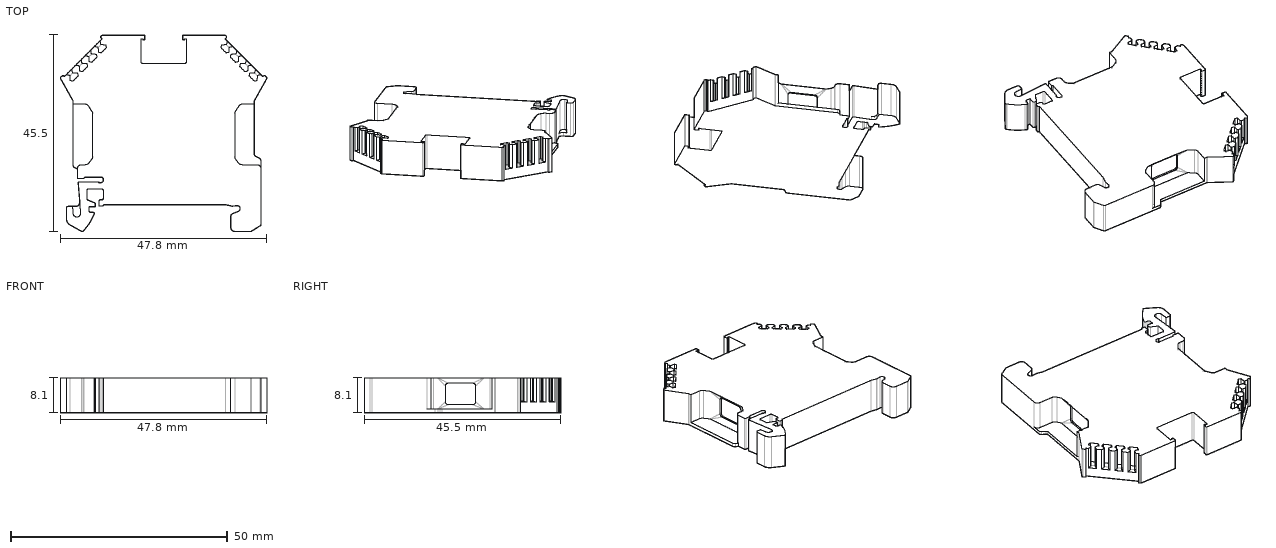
import cadquery as cq
import math


LENGTH = 47.85
HEIGHT = 45.5
THICKNESS = 8.1
TOP_Y = HEIGHT / 2
FOOT_Y = -HEIGHT / 2
BASE_Y = -16.55
WALL_X = 21.0
RIGHT_WALL_X = 22.55
LEFT_STEP_X = -20.0
RIGHT_STEP_TOP_Y = -5.15
RIGHT_STEP_BOTTOM_Y = -5.95
RIGHT_STEP_INNER_ROUND = 0.5
RIGHT_STEP_OUTER_ROUND = 0.7
LEFT_STEP_TOP_Y = -7.75
LEFT_STEP_BOTTOM_Y = -8.25
LEFT_STEP_ROUND = 0.65

MARKER_LOW = (-22.98, 13.15)
MARKER_HIGH = (-14.25, 21.88)
WALL_TOP_Y = 7.5
TIP_Y = 12.85
TIP_REACH = LENGTH / 2 + 0.065
TIP_ROUND = 0.25
WALL_TOP_ROUND = 0.3
HOOK_RISE = 0.45
HOOK_ROUND = 0.15
TOP_HOOK_X = -14.57
TOP_HOOK_LOW_Y = MARKER_HIGH[1] + 0.25
TOP_HOOK_BEVEL = 0.3
TOP_CORNER_X = -14.2

NOTCH_HALF = 5.23
NOTCH_MOUTH_HALF = 4.37
NOTCH_FLOOR_Y = 16.2
LIP_Y = 21.6
LIP_BEAD = 0.4
UNDERCUT_Y = 21.8
LIP_ROUND = 0.2
NOTCH_ROUND = 0.3

FLOOR_Z = 0.85
POCKET_X = 16.53
POCKET_SLANT_TOP_X = 17.7
POCKET_SLANT_BOTTOM_X = 17.56
POCKET_TOP_Y = 6.78
POCKET_BOTTOM_Y = -7.28
POCKET_FLAT_TOP_Y = 4.95
POCKET_FLAT_BOTTOM_Y = -5.8
POCKET_TOP_ROUND = 1.04
POCKET_BOTTOM_ROUND = 1.26
POCKET_LIP_ROUND = 0.96
POCKET_CUT_END_Y = -8.38

FUNNEL_DEPTH = 1.25
FUNNEL_TOP_Y = POCKET_FLAT_TOP_Y - FUNNEL_DEPTH * (POCKET_TOP_Y - POCKET_FLAT_TOP_Y) / (
    POCKET_SLANT_TOP_X - POCKET_X
)
FUNNEL_BOTTOM_Y = POCKET_FLAT_BOTTOM_Y + FUNNEL_DEPTH * (POCKET_FLAT_BOTTOM_Y - POCKET_BOTTOM_Y) / (
    POCKET_SLANT_BOTTOM_X - POCKET_X
)
FUNNEL_LOW_Z = 1.9
FUNNEL_HIGH_Z = 6.85
FUNNEL_ROUND = 0.65
FUNNEL_MOUTH_ROUND = 0.02
WELL_DEPTH = 0.4

SLOT_COUNT = 4
SLOT_PITCH = 3.08
FIRST_SLOT = 1.6
MOUTH_HALF = 0.95
THROAT_HALF = 0.55
THROAT_DEPTH = 0.5
NECK_HALF = 0.47
NECK_DEPTH = 0.78
HEAD_HALF = 1.2
HEAD_DEPTH = 1.6
HEAD_END_HALF = 0.87
HEAD_END_DEPTH = 2.16
SLOT_MOUTH_Z = 2.47
SLOT_NECK_Z = 2.7

CLAW_X = 15.5
CLAW_TOP_Y = -18.75
CLAW_ROUND = 0.8
CLAW_END_ROUND = 1.0
GRIP_X = 17.65
GRIP_LOW_Y = -17.9
GRIP_HIGH_Y = -16.7
GRIP_LOW_ROUND = 0.5
GRIP_HIGH_ROUND = 0.6
RIDGE_X = 15.85
RIDGE_Y = -16.9
RIDGE_ROUND = 0.5
RIDGE_START_X = 14.3
FIXED_FOOT_BEVEL_X = 20.2
FIXED_FOOT_BEVEL_Y = -21.3
BEVEL_SIDE_ROUND = 0.5
BEVEL_END_ROUND = 0.4

SLIT_END_X = -14.0
SLIT_TOP_Y = -10.2
SLIT_POCKET_X = -15.0
SLIT_POCKET_Y = -11.4
SLIT_TOP_ROUND = 0.35
SLIT_LOW_ROUND = 0.55
SLIT_LIP_X = -18.5
SLIT_LIP_Y = -10.5
SLIT_LIP_BEVEL = 0.2
SLIT_LIP_ROUND = 0.2
WINDOW_LEFT_X = -17.73
WINDOW_RIGHT_X = -13.98
WINDOW_TOP_Y = -12.9
WINDOW_LOW_Y = -15.35
WINDOW_ROUND = 0.3
WINDOW_LOW_ROUND = 0.2
STOP_X = -15.0
STOP_RIGHT_X = -14.1
STOP_TOP_ROUND = 0.4
STOP_END_ROUND = 0.25
STOP_RUN_IN_X = -13.9

LATCH_X = -15.8
LATCH_TOP_Y = -16.15
LATCH_LOW_Y = -17.05
LATCH_TOP_ROUND = 0.4
LATCH_LOW_ROUND = 0.25
RAIL_NOTCH_X = -17.28
RAIL_NOTCH_Y = -18.27
RAIL_NOTCH_ROUND = 0.35
CAM_TOP_X = -15.9
CAM_TOP_ROUND = 0.3
CAM_X = -17.03
CAM_Y = -20.99
CAM_RADIUS = 11.0
TOE_X = -18.82
TOE_Y = -22.83
TOE_ROUND = 0.3
HEEL_X = -22.55
HEEL_Y = -20.75
HEEL_ROUND = 1.75
FOOT_TOP_Y = -16.88
FOOT_TOP_ROUND = 0.53

ARM_TOP_X = -19.83
ARM_TOP_Y = -11.24
ARM_LEAN = 0.083
GROOVE_WIDTH = 1.74
GROOVE_OPEN_Y = -15.9
GROOVE_END_Y = -19.34
GROOVE_END_ROUND = 0.8
ARM_TOP_ROUND = 0.3
ARM_ROOT_ROUND = 0.9


def arm_side_x(y):
    """X of the leaning outer side of the spring arm at height y."""
    return ARM_TOP_X + ARM_LEAN * (ARM_TOP_Y - y)


def rounded_outline(corners):
    """Closed wire through (x, y, radius) corners; a radius above zero rounds that corner."""
    spans = []
    for i, (x, y, radius) in enumerate(corners):
        here = cq.Vector(x, y)
        if radius == 0:
            spans.append((here, None, here))
            continue
        before = (cq.Vector(*corners[i - 1][:2]) - here).normalized()
        after = (cq.Vector(*corners[(i + 1) % len(corners)][:2]) - here).normalized()
        half_angle = before.getAngle(after) / 2
        setback = radius / math.tan(half_angle)
        bulge = radius / math.sin(half_angle) - radius
        middle = here + (before + after).normalized() * bulge
        spans.append((here + before * setback, middle, here + after * setback))
    path = cq.Workplane("XY").moveTo(*spans[0][2].toTuple()[:2])
    for start, middle, end in spans[1:] + spans[:1]:
        path = path.lineTo(*start.toTuple()[:2])
        if middle is not None:
            path = path.threePointArc(middle.toTuple()[:2], end.toTuple()[:2])
    return path.close()


def mirrored(corners):
    """The same corners on the other side of the YZ plane, in reverse order."""
    return [(-x, y, radius) for x, y, radius in reversed(corners)]


def housing():
    """The full-thickness plate with the head, the spring foot and the fixed foot."""
    hook = HOOK_RISE / math.sqrt(2)
    head = [
        (-WALL_X, WALL_TOP_Y, WALL_TOP_ROUND),
        (-TIP_REACH, TIP_Y, TIP_ROUND),
        (MARKER_LOW[0] - hook, MARKER_LOW[1] + hook, HOOK_ROUND),
        (*MARKER_LOW, 0),
        (*MARKER_HIGH, 0),
        (TOP_HOOK_X, TOP_HOOK_LOW_Y, 0),
        (TOP_HOOK_X, TOP_Y - TOP_HOOK_BEVEL, 0),
        (TOP_CORNER_X, TOP_Y, 0),
        (-NOTCH_MOUTH_HALF, TOP_Y, LIP_ROUND),
        (-NOTCH_MOUTH_HALF, LIP_Y, LIP_ROUND),
        (-NOTCH_MOUTH_HALF - LIP_BEAD, LIP_Y, 0),
        (-NOTCH_MOUTH_HALF - LIP_BEAD, UNDERCUT_Y, 0),
        (-NOTCH_HALF, UNDERCUT_Y, 0),
        (-NOTCH_HALF, NOTCH_FLOOR_Y, NOTCH_ROUND),
    ]
    fixed_foot = [
        (WALL_X, RIGHT_STEP_TOP_Y, RIGHT_STEP_INNER_ROUND),
        (RIGHT_WALL_X, RIGHT_STEP_BOTTOM_Y, RIGHT_STEP_OUTER_ROUND),
        (RIGHT_WALL_X, FIXED_FOOT_BEVEL_Y, BEVEL_SIDE_ROUND),
        (FIXED_FOOT_BEVEL_X, FOOT_Y, BEVEL_END_ROUND),
        (CLAW_X, FOOT_Y, CLAW_END_ROUND),
        (CLAW_X, CLAW_TOP_Y, CLAW_ROUND),
        (GRIP_X, GRIP_LOW_Y, GRIP_LOW_ROUND),
        (GRIP_X, GRIP_HIGH_Y, GRIP_HIGH_ROUND),
        (RIDGE_X, RIDGE_Y, RIDGE_ROUND),
        (RIDGE_START_X, BASE_Y, 0),
    ]
    window = [
        (STOP_RUN_IN_X, BASE_Y, 0),
        (STOP_RIGHT_X, FOOT_TOP_Y, STOP_END_ROUND),
        (STOP_X, FOOT_TOP_Y, STOP_END_ROUND),
        (STOP_X, WINDOW_LOW_Y, STOP_TOP_ROUND),
        (WINDOW_RIGHT_X, WINDOW_LOW_Y, WINDOW_ROUND),
        (WINDOW_RIGHT_X, WINDOW_TOP_Y, WINDOW_ROUND),
        (WINDOW_LEFT_X, WINDOW_TOP_Y, WINDOW_ROUND),
        (WINDOW_LEFT_X, WINDOW_LOW_Y, WINDOW_LOW_ROUND),
    ]
    spring_foot = [
        (LATCH_X, LATCH_TOP_Y, LATCH_TOP_ROUND),
        (LATCH_X, LATCH_LOW_Y, LATCH_LOW_ROUND),
        (RAIL_NOTCH_X, LATCH_LOW_Y, 0),
        (RAIL_NOTCH_X, RAIL_NOTCH_Y, RAIL_NOTCH_ROUND),
        (CAM_TOP_X, RAIL_NOTCH_Y, CAM_TOP_ROUND),
        (CAM_X, CAM_Y, CAM_RADIUS),
        (TOE_X, TOE_Y, TOE_ROUND),
        (HEEL_X, HEEL_Y, HEEL_ROUND),
        (HEEL_X, FOOT_TOP_Y, FOOT_TOP_ROUND),
        (arm_side_x(FOOT_TOP_Y), FOOT_TOP_Y, ARM_ROOT_ROUND),
    ]
    slit = [
        (ARM_TOP_X, ARM_TOP_Y, ARM_TOP_ROUND),
        (SLIT_POCKET_X, ARM_TOP_Y, 0),
        (SLIT_POCKET_X, SLIT_POCKET_Y, 0),
        (SLIT_END_X, SLIT_POCKET_Y, SLIT_LOW_ROUND),
        (SLIT_END_X, SLIT_TOP_Y, SLIT_TOP_ROUND),
        (SLIT_LIP_X + SLIT_LIP_BEVEL, SLIT_TOP_Y, 0),
        (SLIT_LIP_X, SLIT_LIP_Y, 0),
        (LEFT_STEP_X, SLIT_LIP_Y, SLIT_LIP_ROUND),
        (LEFT_STEP_X, LEFT_STEP_BOTTOM_Y, 0),
        (-WALL_X, LEFT_STEP_TOP_Y, LEFT_STEP_ROUND),
    ]
    outline = head + mirrored(head) + fixed_foot + window + spring_foot + slit
    return rounded_outline(outline).extrude(THICKNESS)


def pocket(side, step_x):
    """Open pocket above the floor; side is -1 for left and 1 for right, step_x its lower edge."""
    outside = LENGTH / 2
    corners = [
        (outside, POCKET_TOP_Y, 0),
        (POCKET_SLANT_TOP_X, POCKET_TOP_Y, POCKET_TOP_ROUND),
        (POCKET_X, POCKET_FLAT_TOP_Y, 0),
        (POCKET_X, POCKET_FLAT_BOTTOM_Y, 0),
        (POCKET_SLANT_BOTTOM_X, POCKET_BOTTOM_Y, POCKET_BOTTOM_ROUND),
        (step_x, POCKET_BOTTOM_Y, POCKET_LIP_ROUND),
        (step_x, POCKET_CUT_END_Y, 0),
        (outside, POCKET_CUT_END_Y, 0),
    ]
    outline = [(side * x, y, radius) for x, y, radius in corners]
    return rounded_outline(outline).extrude(THICKNESS).translate((0, 0, FLOOR_Z))


def funnel():
    """Tapered recess in the back wall of the left pocket, ending in a shallow straight well."""
    mouth_y = (POCKET_FLAT_TOP_Y + POCKET_FLAT_BOTTOM_Y) / 2
    mouth_z = (FLOOR_Z + THICKNESS) / 2
    end_y = (FUNNEL_TOP_Y + FUNNEL_BOTTOM_Y) / 2
    end_z = (FUNNEL_LOW_Z + FUNNEL_HIGH_Z) / 2
    mouth = cq.Sketch().rect(POCKET_FLAT_TOP_Y - POCKET_FLAT_BOTTOM_Y, THICKNESS - FLOOR_Z)
    end = cq.Sketch().rect(FUNNEL_TOP_Y - FUNNEL_BOTTOM_Y, FUNNEL_HIGH_Z - FUNNEL_LOW_Z)
    mouth = mouth.vertices().fillet(FUNNEL_MOUTH_ROUND)
    end = end.vertices().fillet(FUNNEL_ROUND)
    mouth_place = cq.Location(cq.Vector(mouth_y, mouth_z, 0))
    end_place = cq.Location(cq.Vector(end_y, end_z, FUNNEL_DEPTH))
    back_wall = cq.Workplane("YZ", origin=(-POCKET_X, 0, 0))
    taper = (
        back_wall.placeSketch(mouth.moved(mouth_place), end.moved(end_place))
        .loft(ruled=True)
    )
    well = back_wall.placeSketch(end.moved(end_place)).extrude(WELL_DEPTH)
    return taper.union(well)


def marker_slots():
    """Keyhole slots of the left marker face, their floors sloping down towards the face."""
    half_profile = [
        (MOUTH_HALF, 0),
        (THROAT_HALF, -THROAT_DEPTH),
        (NECK_HALF, -NECK_DEPTH),
        (HEAD_HALF, -HEAD_DEPTH),
        (HEAD_END_HALF, -HEAD_END_DEPTH),
    ]
    other_half = [(-along, depth) for along, depth in reversed(half_profile)]
    face = cq.Plane(origin=(*MARKER_HIGH, 0), xDir=(1, 1, 0), normal=(0, 0, 1))
    keyhole = cq.Workplane(face).polyline(half_profile + other_half).close().extrude(THICKNESS)
    keyholes = cq.Workplane("XY")
    for i in range(SLOT_COUNT):
        shift = -(FIRST_SLOT + i * SLOT_PITCH) / math.sqrt(2)
        keyholes = keyholes.add(keyhole.translate((shift, shift, 0)))
    keyholes = keyholes.combine()
    floor_plane = cq.Plane(origin=(*MARKER_LOW, 0), xDir=(1, -1, 0), normal=(1, 1, 0))
    below_floor = [
        (0, 0),
        (0, -SLOT_MOUTH_Z),
        (NECK_DEPTH, -SLOT_NECK_Z),
        (HEAD_END_DEPTH, -SLOT_NECK_Z),
        (HEAD_END_DEPTH, 0),
    ]
    face_length = math.dist(MARKER_LOW, MARKER_HIGH)
    floor = cq.Workplane(floor_plane).polyline(below_floor).close().extrude(face_length)
    return keyholes.cut(floor)


def foot_groove():
    """Round-ended groove in the spring foot, open at the top of the foot."""
    corners = [
        (arm_side_x(GROOVE_OPEN_Y) - GROOVE_WIDTH, GROOVE_OPEN_Y, 0),
        (arm_side_x(GROOVE_END_Y) - GROOVE_WIDTH, GROOVE_END_Y, GROOVE_END_ROUND),
        (arm_side_x(GROOVE_END_Y), GROOVE_END_Y, GROOVE_END_ROUND),
        (arm_side_x(GROOVE_OPEN_Y), GROOVE_OPEN_Y, 0),
    ]
    return rounded_outline(corners).extrude(THICKNESS).translate((0, 0, FLOOR_Z))


slots = marker_slots()
entry = funnel()
result = (
    housing()
    .cut(pocket(-1, -LEFT_STEP_X))
    .cut(pocket(1, RIGHT_WALL_X))
    .cut(entry)
    .cut(entry.mirror("YZ"))
    .cut(slots)
    .cut(slots.mirror("YZ"))
    .cut(foot_groove())
)